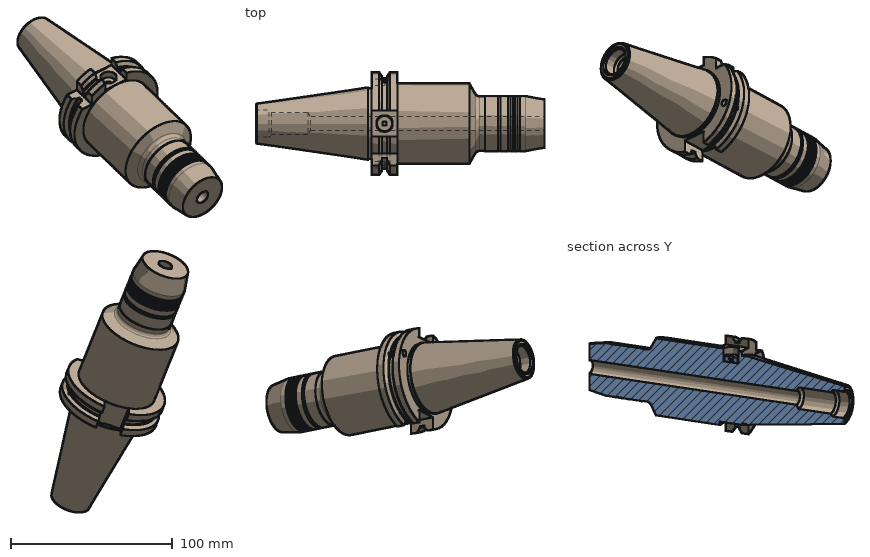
import cadquery as cq
import math

GAUGE_X = 68.3
GAUGE_RADIUS = 22.3
TAPER_SLOPE = 7 / 48
TAPER_END_X = 69.2
SHANK_CHAMFER_LENGTH = 0.7
SHANK_CHAMFER_DEPTH = 0.9
NECK_RADIUS = 22.0

FLANGE_START_X = 71.5
FLANGE_LENGTH = 15.9
FLANGE_END_X = FLANGE_START_X + FLANGE_LENGTH
FLANGE_RADIUS = 31.8
GROOVE_X = (FLANGE_START_X + FLANGE_END_X) / 2
GROOVE_FLOOR_RADIUS = 28.2
GROOVE_FLOOR_HALF_WIDTH = 1.52
GROOVE_SHOULDER_RADIUS = 29.0
GROOVE_MOUTH_HALF_WIDTH = 3.4

SLOT_WIDTH = 15.9
TOP_SLOT_FLOOR = 25.0
BOTTOM_SLOT_FLOOR = 22.8
NOTCH_WALL = 18.4
NOTCH_FLOOR = 18.5

COOLANT_PITCH_RADIUS = 27.1
COOLANT_ANGLE = 20
COOLANT_DIAMETER = 4.1
CROSS_HOLE_DIAMETER = 4.0
COOLANT_DEPTH = GROOVE_X - FLANGE_START_X
DRILL_POINT_ANGLE = 118

BODY_RADIUS = 25.0
SHOULDER_X = 131.8
SHOULDER_ANGLE = 60
NOSE_ROOT_RADIUS = 17.0
NOSE_RADIUS = 17.1
NOSE_ROOT_END_X = 141.5
NOSE_FILLET = 3.0
NOSE_CONE_X = 166.6
TOTAL_LENGTH = 178.4
NOSE_END_RADIUS = 15.0
BAND_DEPTH = 0.2
BAND_WIDTH = 1.5
BAND_CUTTER_MARGIN = 1.8
SINGLE_BAND_X = 149.7
TRIPLE_BAND_X = 155.7
TRIPLE_BAND_COUNT = 3
TRIPLE_BAND_PITCH = 2 * BAND_WIDTH
TRIPLE_BAND_STARTS = [TRIPLE_BAND_X + i * TRIPLE_BAND_PITCH for i in range(TRIPLE_BAND_COUNT)]

BORE_CHAMFER_RADIUS = 9.5
PILOT_RADIUS = 8.4
PILOT_DEPTH = 8.2
THREAD_RADIUS = 6.8
THREAD_DEPTH = 32.1
COOLANT_BORE_RADIUS = 4.3

POCKET_DIAMETER = 10.2
CHIP_DIAMETER = 9.6
CHIP_RECESS = 4.6
CHIP_THICKNESS = 3.5
CHIP_HOLE_DIAMETER = 2.7
CHIP_HOLE_DEPTH = 1.8


def taper_radius(x):
    return GAUGE_RADIUS + (x - GAUGE_X) * TAPER_SLOPE


def revolve(outline):
    return outline.close().revolve(360, (0, 0, 0), (1, 0, 0))


def point_length(radius):
    return radius / math.tan(math.radians(DRILL_POINT_ANGLE / 2))


def drilled_hole(diameter, depth):
    """A blind hole with a drill point that starts at the origin and runs along +X."""
    radius = diameter / 2
    return revolve(
        cq.Workplane("XZ")
        .moveTo(0, 0)
        .lineTo(0, radius)
        .lineTo(depth, radius)
        .lineTo(depth + point_length(radius), 0)
    )


def shoulder_fillet():
    """Start, middle and end of the arc that blends the shoulder cone into the nose."""
    slope = math.radians(SHOULDER_ANGLE)
    start_radius = NOSE_ROOT_RADIUS + NOSE_FILLET * (1 - math.cos(slope))
    start_x = SHOULDER_X + (BODY_RADIUS - start_radius) / math.tan(slope)
    end_x = start_x + NOSE_FILLET * math.sin(slope)
    half = slope / 2
    middle_radius = NOSE_ROOT_RADIUS + NOSE_FILLET * (1 - math.cos(half))
    middle_x = end_x - NOSE_FILLET * math.sin(half)
    return (start_x, start_radius), (middle_x, middle_radius), (end_x, NOSE_ROOT_RADIUS)


def turned_blank():
    """Shank, flange, body and nose turned about the X axis."""
    fillet_start, fillet_middle, fillet_end = shoulder_fillet()
    return revolve(
        cq.Workplane("XZ")
        .moveTo(0, 0)
        .lineTo(0, taper_radius(0) - SHANK_CHAMFER_DEPTH)
        .lineTo(SHANK_CHAMFER_LENGTH, taper_radius(SHANK_CHAMFER_LENGTH))
        .lineTo(TAPER_END_X, taper_radius(TAPER_END_X))
        .lineTo(TAPER_END_X, NECK_RADIUS)
        .lineTo(FLANGE_START_X, NECK_RADIUS)
        .lineTo(FLANGE_START_X, FLANGE_RADIUS)
        .lineTo(GROOVE_X - GROOVE_MOUTH_HALF_WIDTH, FLANGE_RADIUS)
        .lineTo(GROOVE_X - GROOVE_FLOOR_HALF_WIDTH, GROOVE_SHOULDER_RADIUS)
        .lineTo(GROOVE_X - GROOVE_FLOOR_HALF_WIDTH, GROOVE_FLOOR_RADIUS)
        .lineTo(GROOVE_X + GROOVE_FLOOR_HALF_WIDTH, GROOVE_FLOOR_RADIUS)
        .lineTo(GROOVE_X + GROOVE_FLOOR_HALF_WIDTH, GROOVE_SHOULDER_RADIUS)
        .lineTo(GROOVE_X + GROOVE_MOUTH_HALF_WIDTH, FLANGE_RADIUS)
        .lineTo(FLANGE_END_X, FLANGE_RADIUS)
        .lineTo(FLANGE_END_X, BODY_RADIUS)
        .lineTo(SHOULDER_X, BODY_RADIUS)
        .lineTo(*fillet_start)
        .threePointArc(fillet_middle, fillet_end)
        .lineTo(NOSE_ROOT_END_X, NOSE_ROOT_RADIUS)
        .lineTo(NOSE_ROOT_END_X, NOSE_RADIUS)
        .lineTo(NOSE_CONE_X, NOSE_RADIUS)
        .lineTo(TOTAL_LENGTH, NOSE_END_RADIUS)
        .lineTo(TOTAL_LENGTH, 0)
    )


def bore():
    """A stepped bore: chamfer, pilot, thread core and through hole for the coolant."""
    chamfer = BORE_CHAMFER_RADIUS - PILOT_RADIUS
    step = PILOT_RADIUS - THREAD_RADIUS
    cone_length = point_length(THREAD_RADIUS) - point_length(COOLANT_BORE_RADIUS)
    return revolve(
        cq.Workplane("XZ")
        .moveTo(0, 0)
        .lineTo(0, BORE_CHAMFER_RADIUS)
        .lineTo(chamfer, PILOT_RADIUS)
        .lineTo(PILOT_DEPTH, PILOT_RADIUS)
        .lineTo(PILOT_DEPTH + step, THREAD_RADIUS)
        .lineTo(THREAD_DEPTH, THREAD_RADIUS)
        .lineTo(THREAD_DEPTH + cone_length, COOLANT_BORE_RADIUS)
        .lineTo(TOTAL_LENGTH, COOLANT_BORE_RADIUS)
        .lineTo(TOTAL_LENGTH, 0)
    )


def nose_bands():
    """Shallow grooves around the nose."""
    rings = cq.Workplane("XY")
    for start_x in [SINGLE_BAND_X, *TRIPLE_BAND_STARTS]:
        ring = (
            cq.Workplane("YZ", origin=(start_x, 0, 0))
            .circle(NOSE_RADIUS + BAND_CUTTER_MARGIN)
            .circle(NOSE_RADIUS - BAND_DEPTH)
            .extrude(BAND_WIDTH)
        )
        rings = rings.add(ring)
    return rings.combine()


def flange_box(width, height):
    return cq.Workplane("XY").box(FLANGE_LENGTH, width, height, centered=(False, True, False))


def driving_slots():
    top = flange_box(SLOT_WIDTH, FLANGE_RADIUS).translate((FLANGE_START_X, 0, TOP_SLOT_FLOOR))
    bottom = flange_box(SLOT_WIDTH, FLANGE_RADIUS).translate(
        (FLANGE_START_X, 0, -BOTTOM_SLOT_FLOOR - FLANGE_RADIUS)
    )
    return top.union(bottom)


def corner_notch():
    return flange_box(FLANGE_RADIUS, FLANGE_RADIUS).translate(
        (FLANGE_START_X, -NOTCH_WALL - FLANGE_RADIUS / 2, NOTCH_FLOOR)
    )


def coolant_passage():
    """An axial hole from the flange face that meets a radial hole from the groove."""
    axial = drilled_hole(COOLANT_DIAMETER, COOLANT_DEPTH).translate((FLANGE_START_X, COOLANT_PITCH_RADIUS, 0))
    radial = drilled_hole(CROSS_HOLE_DIAMETER, FLANGE_RADIUS - COOLANT_PITCH_RADIUS)
    radial = radial.rotate((0, 0, 0), (0, 0, 1), -90).translate((GROOVE_X, FLANGE_RADIUS, 0))
    return axial.union(radial)


def chip_pocket():
    depth = CHIP_RECESS + CHIP_THICKNESS
    return (
        cq.Workplane("XY", origin=(GROOVE_X, 0, TOP_SLOT_FLOOR - depth))
        .circle(POCKET_DIAMETER / 2)
        .extrude(depth)
    )


def make_holder():
    holder = turned_blank().cut(bore()).cut(nose_bands())
    holder = holder.cut(driving_slots()).cut(corner_notch()).cut(chip_pocket())
    for angle in (COOLANT_ANGLE, COOLANT_ANGLE + 180):
        holder = holder.cut(coolant_passage().rotate((0, 0, 0), (1, 0, 0), angle))
    return holder


def make_chip():
    """A disc on the pocket floor with a small drilled hole in its middle."""
    hole = drilled_hole(CHIP_HOLE_DIAMETER, CHIP_HOLE_DEPTH).rotate((0, 0, 0), (0, 1, 0), 90)
    return (
        cq.Workplane("XY", origin=(GROOVE_X, 0, TOP_SLOT_FLOOR - CHIP_RECESS - CHIP_THICKNESS))
        .circle(CHIP_DIAMETER / 2)
        .extrude(CHIP_THICKNESS)
        .cut(hole.translate((GROOVE_X, 0, TOP_SLOT_FLOOR - CHIP_RECESS)))
    )


holder = make_holder()
chip = make_chip()
result = cq.Compound.makeCompound([holder.val(), chip.val()])